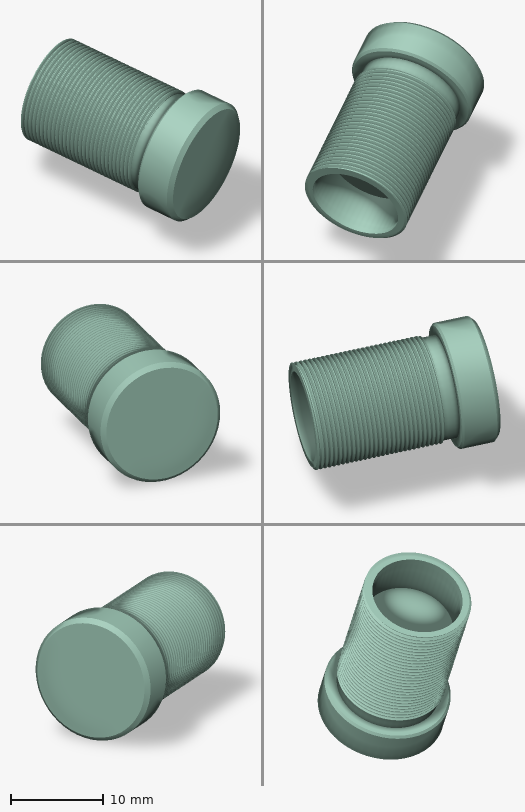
import cadquery as cq
import math

total_length = 20.4
head_length = 4.4
thread_length = 14.4
head_diameter = 14.0
neck_diameter = 11.4
bore_diameter = 10.0
bore_depth = 5.0

inner_chamfer = 0.25
outer_chamfer = 0.49

thread_turns = 28.8
pitch = thread_length / thread_turns
major_diameter = 12.0
crest_width = 0.06
flank_angle = 30
thread_phase = 0.049
ridge_embed = 0.05


def cylinder(start, length, diameter):
    """Solid cylinder along X."""
    return cq.Workplane("YZ", origin=(start, 0, 0)).circle(diameter / 2).extrude(length)


def head():
    """Plain round head with a small inner and a larger outer chamfer."""
    blank = cylinder(total_length - head_length, head_length, head_diameter)
    return blank.faces("<X").chamfer(inner_chamfer).faces(">X").chamfer(outer_chamfer)


def thread_ridge():
    """Right-hand helical ridge, trimmed flush at both ends of the threaded length."""
    crest_radius = major_diameter / 2
    base_radius = neck_diameter / 2 - ridge_embed
    half_crest = crest_width / 2
    half_base = half_crest + (crest_radius - base_radius) * math.tan(math.radians(flank_angle))
    path = cq.Wire.makeHelix(pitch, thread_length + 2 * pitch, base_radius)
    profile = cq.Workplane("XZ").polyline([
        (base_radius, -half_base),
        (crest_radius, -half_crest),
        (crest_radius, half_crest),
        (base_radius, half_base),
    ]).close()
    ridge = profile.sweep(cq.Workplane(path), isFrenet=True)
    ridge = ridge.rotate((0, 0, 0), (0, 1, 0), 90).rotate((0, 0, 0), (1, 0, 0), 180)
    ridge = ridge.translate((thread_phase - pitch, 0, 0))
    envelope = cylinder(0, thread_length, major_diameter + pitch)
    return ridge.intersect(envelope)


shank = cylinder(0, total_length - head_length, neck_diameter)
bore = cylinder(0, bore_depth, bore_diameter)
result = shank.union(thread_ridge()).union(head()).cut(bore)